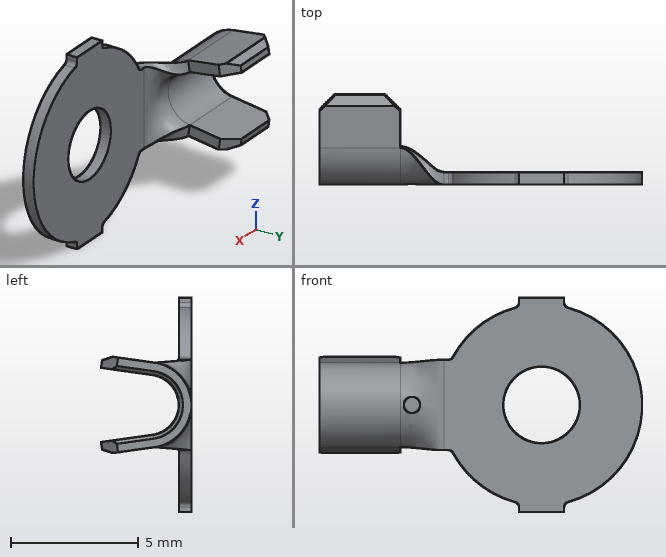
import math

import cadquery as cq


sheet = 0.5
overall_length = 12.69
overall_height = 8.43
overall_depth = 3.56

ring_radius = 3.96
hole_radius = 1.5
tab_width = 1.78
tab_root_fillet = 0.2
neck_half_width = 1.78
neck_root_fillet = 0.2
bend_end_x = -3.83

barrel_start_x = ring_radius - overall_length
barrel_length = 3.18
barrel_radius = 1.68
leg_tilt = math.radians(8)
leg_corner_chamfer = 0.61
leg_bevel_length = 0.4
leg_bevel_depth = 0.2
mouth_chamfer = 0.16
barrel_end_x = barrel_start_x + barrel_length

dimple_x = -5.09
dimple_radius = 0.32
dimple_depth = 0.06

neck_steps = 6

barrel_half_angle = math.pi / 2 - leg_tilt
curve_end_y = barrel_radius * (1 - math.cos(barrel_half_angle))
curve_end_z = barrel_radius * math.sin(barrel_half_angle)
leg_length = (overall_depth - curve_end_y - sheet * math.sin(leg_tilt)) / math.cos(leg_tilt)


def yz_plane(x):
    """Plane across the part at x, with local axes along +Y and +Z."""
    return cq.Plane(origin=(x, 0, 0), xDir=(0, 1, 0), normal=(1, 0, 0))


def leg_point(along, inward, side):
    """(y, z) of a leg point: along the leg, and inward from its outer face."""
    y = curve_end_y + along * math.cos(leg_tilt) + inward * math.sin(leg_tilt)
    z = curve_end_z + along * math.sin(leg_tilt) - inward * math.cos(leg_tilt)
    return (y, side * z)


def make_ring():
    disc = cq.Workplane("XZ").circle(ring_radius).extrude(-sheet)
    flat_length = ring_radius - bend_end_x
    flat_area = (
        cq.Workplane("XZ")
        .center(bend_end_x + flat_length / 2, 0)
        .rect(flat_length, 2 * ring_radius)
        .extrude(-sheet)
    )
    tabs = cq.Workplane("XZ").rect(tab_width, overall_height).extrude(-sheet)
    neck = (
        cq.Workplane("XZ")
        .center(bend_end_x / 2, 0)
        .rect(-bend_end_x, 2 * neck_half_width)
        .extrude(-sheet)
    )
    ring = disc.intersect(flat_area).union(tabs).union(neck)

    tab_root_z = math.sqrt(ring_radius**2 - (tab_width / 2) ** 2)
    neck_root_x = -math.sqrt(ring_radius**2 - neck_half_width**2)
    for side in (1, -1):
        for x in (tab_width / 2, -tab_width / 2):
            tab_root = cq.selectors.NearestToPointSelector((x, sheet / 2, side * tab_root_z))
            ring = ring.edges("|Y").edges(tab_root).fillet(tab_root_fillet)
        neck_root = cq.selectors.NearestToPointSelector((neck_root_x, sheet / 2, side * neck_half_width))
        ring = ring.edges("|Y").edges(neck_root).fillet(neck_root_fillet)

    hole = cq.Workplane("XZ").circle(hole_radius).extrude(-sheet)
    return ring.cut(hole)


def u_section(x, inset):
    """U-shaped barrel outline at x; a positive inset thins it from the inner side."""
    depth = sheet - inset
    return (
        cq.Workplane(yz_plane(x))
        .moveTo(*leg_point(0, 0, 1))
        .threePointArc((0, 0), leg_point(0, 0, -1))
        .lineTo(*leg_point(leg_length, 0, -1))
        .lineTo(*leg_point(leg_length, depth, -1))
        .lineTo(*leg_point(0, depth, -1))
        .threePointArc((depth, 0), leg_point(0, depth, 1))
        .lineTo(*leg_point(leg_length, depth, 1))
        .lineTo(*leg_point(leg_length, 0, 1))
        .close()
    )


def make_barrel():
    mouth_end_x = barrel_start_x + mouth_chamfer
    body = u_section(mouth_end_x, 0).extrude(barrel_length - mouth_chamfer)
    mouth_end = u_section(mouth_end_x, 0).wires().val()
    mouth_start = u_section(barrel_start_x, mouth_chamfer).wires().val()
    mouth = cq.Workplane(cq.Solid.makeLoft([mouth_start, mouth_end], True))
    barrel = body.union(mouth)

    for side in (1, -1):
        barrel = barrel.cut(leg_bevel(side))
        barrel = barrel.cut(leg_corner(side, barrel_start_x, 1))
        barrel = barrel.cut(leg_corner(side, barrel_end_x, -1))
    return barrel


def leg_bevel(side):
    """Wedge removed from the outer face of a leg at its tip."""
    return (
        cq.Workplane(yz_plane(barrel_start_x))
        .polyline(
            [
                leg_point(leg_length - leg_bevel_length, 0, side),
                leg_point(leg_length, leg_bevel_depth, side),
                leg_point(leg_length, 0, side),
            ]
        )
        .close()
        .extrude(barrel_length)
    )


def leg_corner(side, end_x, toward_middle):
    """Triangular prism removed from one tip corner of a leg, square to the leg face."""
    tip_y, tip_z = leg_point(leg_length, 0, side)
    leg_face = cq.Plane(
        origin=(end_x, tip_y, tip_z),
        xDir=(1, 0, 0),
        normal=(0, -math.sin(leg_tilt), side * math.cos(leg_tilt)),
    )
    toward_root = -math.copysign(leg_corner_chamfer, leg_face.yDir.y)
    return (
        cq.Workplane(leg_face)
        .polyline([(0, 0), (toward_middle * leg_corner_chamfer, 0), (0, toward_root)])
        .close()
        .extrude(sheet, both=True)
    )


def curl_section(x, edge_y, edge_z):
    """Section of the neck: an arc of sheet touching y = 0, with its outer edges at (edge_y, +-edge_z)."""
    half_angle = 2 * math.atan(edge_y / edge_z)
    inner_y = edge_y + sheet * math.cos(half_angle)
    inner_z = edge_z - sheet * math.sin(half_angle)
    return (
        cq.Workplane(yz_plane(x))
        .moveTo(edge_y, edge_z)
        .threePointArc((0, 0), (edge_y, -edge_z))
        .lineTo(inner_y, -inner_z)
        .threePointArc((sheet, 0), (inner_y, inner_z))
        .close()
        .wires()
        .val()
    )


def make_neck():
    """Sheet that flattens smoothly from the curved barrel bottom to the flat ring."""
    sections = []
    for step in range(neck_steps):
        fraction = step / neck_steps
        x = barrel_end_x + fraction * (bend_end_x - barrel_end_x)
        curl = (1 + math.cos(math.pi * fraction)) / 2
        edge_z = neck_half_width + curl * (curve_end_z - neck_half_width)
        sections.append(curl_section(x, curl * curve_end_y, edge_z))
    flat = (
        cq.Workplane(yz_plane(bend_end_x))
        .moveTo(0, neck_half_width)
        .lineTo(0, -neck_half_width)
        .lineTo(sheet, -neck_half_width)
        .lineTo(sheet, neck_half_width)
        .close()
        .wires()
        .val()
    )
    sections.append(flat)
    neck = cq.Workplane(cq.Solid.makeLoft(sections))

    dimple = cq.Workplane("XZ").center(dimple_x, 0).circle(dimple_radius).extrude(-dimple_depth)
    return neck.cut(dimple)


result = make_ring().union(make_neck()).union(make_barrel())